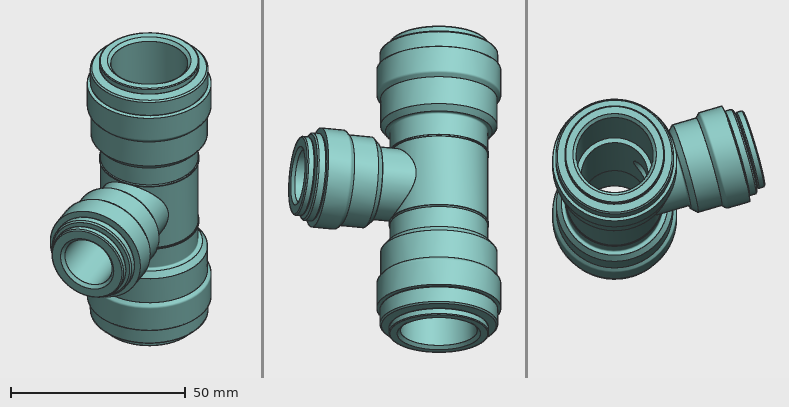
import cadquery as cq
import math

run_length = 89.6
run_diameter = 35.6
overall_depth = 59.4
run_reach = run_length / 2
branch_reach = overall_depth - run_diameter / 2

ring_diameter = 28.6
ring_width = 0.5
ring_offset = 10.9

body_edge_radius = 0.8

run_end = {
    "collar_diameter": 28.6, "collar_depth": 2.1, "collar_chamfer": 0.3,
    "neck_diameter": 24.5,
    "cap_diameter": 33.8, "cap_start": 2.5, "cap_chamfer": 0.45,
    "body_diameter": run_diameter, "body_start": 7.9, "body_edge": 15.4,
    "sleeve_diameter": 33.4, "sleeve_edge": 25.2, "sleeve_end": 26.9, "sleeve_chamfer": 1.4,
    "pipe_diameter": 28.0, "foot_radius": 0.45,
    "socket_diameter": 22.0, "mouth_diameter": 23.9, "bore_diameter": 19.2,
}
branch_end = {
    "collar_diameter": 22.8, "collar_depth": 2.2, "collar_chamfer": 0.4,
    "neck_diameter": 16.8,
    "cap_diameter": 25.3, "cap_start": 2.7, "cap_chamfer": 0.45,
    "body_diameter": 28.6, "body_start": 5.5, "body_edge": 11.9,
    "sleeve_diameter": 26.2, "sleeve_edge": 20.5, "sleeve_end": 22.2, "sleeve_chamfer": 1.6,
    "pipe_diameter": 21.0, "foot_radius": 0.45,
    "socket_diameter": 15.0, "mouth_diameter": 16.8, "bore_diameter": 12.2,
}

ring_height = (ring_diameter - run_end["pipe_diameter"]) / 2


def make_end(end, reach):
    """Solid end with its pipe, revolved about Z from the origin up to the mouth at Z = reach."""
    collar = end["collar_diameter"] / 2
    collar_chamfer = end["collar_chamfer"]
    neck = end["neck_diameter"] / 2
    cap = end["cap_diameter"] / 2
    cap_chamfer = end["cap_chamfer"]
    body = end["body_diameter"] / 2
    sleeve = end["sleeve_diameter"] / 2
    sleeve_chamfer = end["sleeve_chamfer"]
    pipe = end["pipe_diameter"] / 2
    foot = end["foot_radius"]

    mouth_z = reach
    collar_z = reach - end["collar_depth"]
    cap_z = reach - end["cap_start"]
    body_z = reach - end["body_start"]
    body_edge_z = reach - end["body_edge"]
    sleeve_edge_z = reach - end["sleeve_edge"]
    sleeve_end_z = reach - end["sleeve_end"]

    half_turn = math.radians(22.5)
    mid_drop = body_edge_radius * (1 - math.cos(half_turn))
    mid_length = body_edge_radius * math.sin(half_turn)
    arc_drop = body_edge_radius * (1 - math.cos(2 * half_turn))
    arc_length = body_edge_radius * math.sin(2 * half_turn)
    slope_start = (body - arc_drop, body_edge_z - arc_length)
    slope_end_z = slope_start[1] - (slope_start[0] - sleeve)

    foot_mid = foot * (1 - math.sqrt(0.5))

    profile = (
        cq.Workplane("XZ")
        .moveTo(0, mouth_z)
        .lineTo(collar - collar_chamfer, mouth_z)
        .lineTo(collar, mouth_z - collar_chamfer)
        .lineTo(collar, collar_z + collar_chamfer)
        .lineTo(collar - collar_chamfer, collar_z)
        .lineTo(neck, collar_z)
        .lineTo(neck, cap_z)
        .lineTo(cap - cap_chamfer, cap_z)
        .lineTo(cap, cap_z - cap_chamfer)
        .lineTo(cap, body_z + cap_chamfer)
        .lineTo(cap - cap_chamfer, body_z)
        .lineTo(body, body_z)
        .lineTo(body, body_edge_z)
        .threePointArc((body - mid_drop, body_edge_z - mid_length), slope_start)
        .lineTo(sleeve, slope_end_z)
        .lineTo(sleeve, sleeve_edge_z)
        .lineTo(sleeve - sleeve_chamfer, sleeve_end_z)
        .lineTo(pipe + foot, sleeve_end_z)
        .threePointArc((pipe + foot_mid, sleeve_end_z - foot_mid), (pipe, sleeve_end_z - foot))
        .lineTo(pipe, 0)
        .lineTo(0, 0)
        .close()
    )
    return profile.revolve(360, (0, 0, 0), (0, 1, 0))


def make_cavity(end, reach):
    """Bore, wider tube socket and 45-degree lead-in of one end, from the origin up to the mouth."""
    bore = end["bore_diameter"] / 2
    socket = end["socket_diameter"] / 2
    mouth = end["mouth_diameter"] / 2
    socket_floor_z = reach - end["sleeve_end"]
    lead_in_z = reach - (mouth - socket)

    profile = (
        cq.Workplane("XZ")
        .moveTo(0, 0)
        .lineTo(bore, 0)
        .lineTo(bore, socket_floor_z)
        .lineTo(socket, socket_floor_z)
        .lineTo(socket, lead_in_z)
        .lineTo(mouth, reach)
        .lineTo(0, reach)
        .close()
    )
    return profile.revolve(360, (0, 0, 0), (0, 1, 0))


def point_to_branch(shape):
    """Turn a shape built along +Z so that it points along -Y."""
    return shape.rotate((0, 0, 0), (1, 0, 0), 90)


def make_run(shape):
    """Add a copy of an upper half, turned over about X, to complete the run."""
    lower_half = shape.rotate((0, 0, 0), (1, 0, 0), 180)
    return shape.union(lower_half).clean()


def make_ring():
    """Thin ring around the upper half of the run pipe."""
    return (
        cq.Workplane("XY")
        .workplane(offset=ring_offset - ring_width / 2)
        .circle(ring_diameter / 2)
        .extrude(ring_width)
        .faces(">Z")
        .fillet(ring_height)
    )


upper_half = make_end(run_end, run_reach).union(make_ring())
outside = make_run(upper_half).union(point_to_branch(make_end(branch_end, branch_reach)))

run_cavity = make_run(make_cavity(run_end, run_reach))
branch_cavity = point_to_branch(make_cavity(branch_end, branch_reach))

result = outside.cut(run_cavity).cut(branch_cavity)